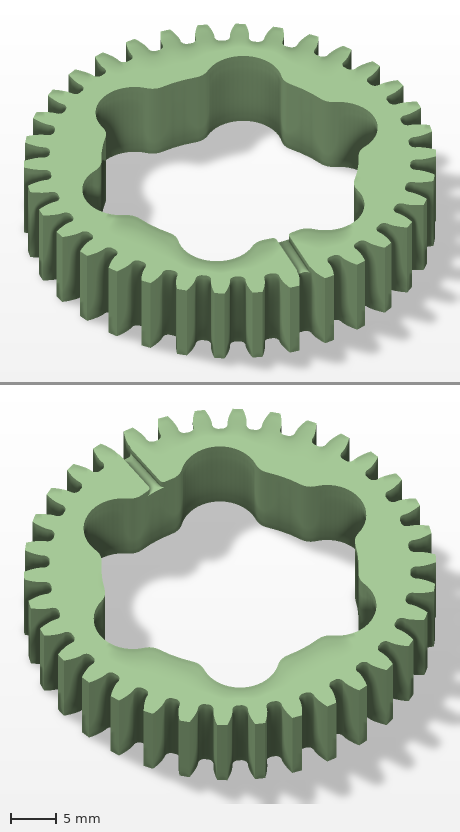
import cadquery as cq
import math

tip_radius = 22.85
tooth_count = 34
module = 2 * tip_radius / (tooth_count + 2)
pitch_radius = module * tooth_count / 2
dedendum_factor = 1.25
root_radius = pitch_radius - dedendum_factor * module
pressure_angle = math.radians(14.5)
base_radius = pitch_radius * math.cos(pressure_angle)
pitch_step = 2 * math.pi / tooth_count
tooth_thinning = 0.05
tooth_half_angle = pitch_step / 4 - tooth_thinning / (2 * pitch_radius)
root_fillet = 0.7
flank_sections = 6

face_width = 9.5

bore_radius = 14.25
lobe_count = 6
lobe_radius = 4.35
lobe_reach = 17.45
lobe_center = lobe_reach - lobe_radius
lobe_fillet = 2.05

groove_width = 1.5
groove_depth = 0.85
groove_mouth_round = 0.45


def polar(radius, angle):
    """Point at an angle measured from +Y towards +X."""
    return (radius * math.sin(angle), radius * math.cos(angle))


def involute(angle):
    return math.tan(angle) - angle


def flank_half_angle(radius):
    """Half the angle filled by a tooth at a radius on its involute flank."""
    roll = math.acos(base_radius / radius)
    return tooth_half_angle + involute(pressure_angle) - involute(roll)


def tooth_half_outline():
    """Landmarks of one tooth side as (radius, half angle): root, fillet middle, then flank points."""
    base_half_angle = flank_half_angle(base_radius)

    fillet_center_radius = root_radius + root_fillet
    fillet_center_angle = base_half_angle + math.asin(root_fillet / fillet_center_radius)
    foot_radius = math.sqrt(fillet_center_radius**2 - root_fillet**2)

    center_x, center_y = polar(fillet_center_radius, fillet_center_angle)
    toward_flank = base_half_angle - math.pi / 2
    toward_root = fillet_center_angle - math.pi
    offset_x, offset_y = polar(root_fillet, (toward_flank + toward_root) / 2)
    middle_x = center_x + offset_x
    middle_y = center_y + offset_y

    root = (root_radius, fillet_center_angle)
    fillet_middle = (math.hypot(middle_x, middle_y), math.atan2(middle_x, middle_y))
    foot = (foot_radius, base_half_angle)
    radius_step = (tip_radius - base_radius) / flank_sections
    flank_radii = [base_radius + radius_step * i for i in range(flank_sections + 1)]
    flank = [(radius, flank_half_angle(radius)) for radius in flank_radii]
    return root, fillet_middle, foot, flank


def make_toothed_blank():
    """Solid gear with one tooth centred on +Y."""
    root, fillet_middle, foot, flank = tooth_half_outline()

    def left(point, tooth_angle):
        radius, half_angle = point
        return polar(radius, tooth_angle - half_angle)

    def right(point, tooth_angle):
        radius, half_angle = point
        return polar(radius, tooth_angle + half_angle)

    outline = cq.Workplane("XY").moveTo(*left(root, 0))
    for index in range(tooth_count):
        tooth = index * pitch_step
        next_tooth = tooth + pitch_step
        rising_flank = [left(point, tooth) for point in flank]
        falling_flank = [right(point, tooth) for point in reversed(flank)]
        outline = (
            outline.threePointArc(left(fillet_middle, tooth), left(foot, tooth))
            .lineTo(*rising_flank[0])
            .spline(rising_flank[1:], includeCurrent=True)
            .threePointArc(polar(tip_radius, tooth), falling_flank[0])
            .spline(falling_flank[1:], includeCurrent=True)
            .lineTo(*right(foot, tooth))
            .threePointArc(right(fillet_middle, tooth), right(root, tooth))
            .threePointArc(polar(root_radius, tooth + pitch_step / 2), left(root, next_tooth))
        )
    return outline.close().extrude(face_width)


def make_bore():
    """Round bore with evenly spaced lobes, the first on +Y, blended where they meet the bore."""
    bore = cq.Workplane("XY").circle(bore_radius).extrude(face_width)
    lobes = (
        cq.Workplane("XY")
        .polarArray(lobe_center, 90, 360, lobe_count)
        .circle(lobe_radius)
        .extrude(face_width)
    )
    return bore.union(lobes).edges("|Z").fillet(lobe_fillet)


def make_groove():
    """Radial groove through the rim on the +X side, in line with a tooth gap."""
    return (
        cq.Workplane("XY")
        .workplane(offset=face_width - groove_depth)
        .rect(tip_radius, groove_width)
        .extrude(groove_depth)
        .translate((tip_radius / 2, 0, 0))
    )


def round_groove_mouth(gear):
    """Round the two groove-deep upright edges at the bore end of the groove."""
    mouth_x = math.sqrt(bore_radius**2 - (groove_width / 2) ** 2)
    mouth_z = face_width - groove_depth / 2
    reach = groove_depth / 4
    for mouth_y in (-groove_width / 2, groove_width / 2):
        corner = cq.selectors.BoxSelector(
            (mouth_x - reach, mouth_y - reach, mouth_z - reach),
            (mouth_x + reach, mouth_y + reach, mouth_z + reach),
        )
        gear = gear.edges(corner).fillet(groove_mouth_round)
    return gear


gear = make_toothed_blank().cut(make_bore()).cut(make_groove())
result = round_groove_mouth(gear)